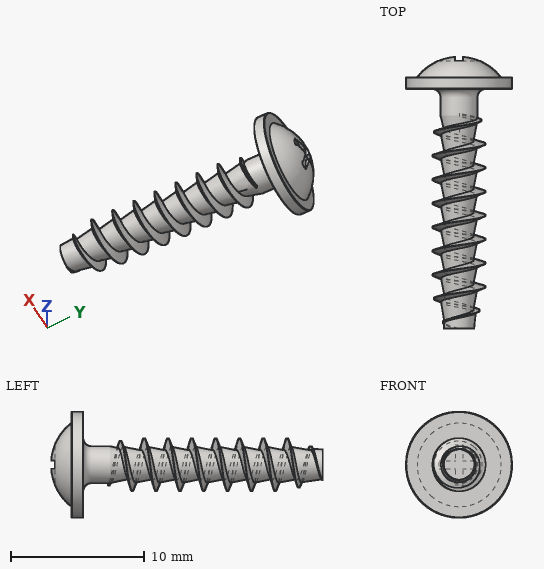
import math
import cadquery as cq


flange_radius = 4.0
flange_thickness = 0.9
flange_edge_chamfer = 0.05
dome_base_radius = 3.15
overall_length = 20.43
slot_width = 0.6
slot_depth = 0.28

shank_length = 18.0
neck_radius = 1.4
neck_length = 2.0
neck_fillet = 0.6
core_radius = 1.12
neck_taper_length = 1.2

pitch = 1.79
thread_start = 1.88
crest_radius = 2.0
crest_start_radius = 1.6
crest_flat = 0.04
crest_taper_start = 15.5
crest_taper_slope = 0.38
tooth_head_width = 0.28
tooth_tip_width = 0.26
root_radius = 1.36
root_taper_start = 16.0
root_taper_slope = 0.14
points_per_turn = 24

crest_clearance = 0.04
ramp_dip = 0.01
ramp_gap = 0.02
buried_depth = 0.12
min_crest_radius = core_radius + crest_clearance
ramp_end_radius = core_radius - ramp_dip
base_radius = core_radius - buried_depth

head_height = overall_length - shank_length
slot_corner_radius = slot_width / math.sqrt(2)
corner_height = head_height - flange_thickness
center_height = (corner_height**2 + slot_corner_radius**2 - dome_base_radius**2) / (2 * corner_height)
dome_radius = math.hypot(dome_base_radius, center_height)
dome_height = center_height + dome_radius

screw_plane = cq.Plane(origin=(0, 0, 0), xDir=(0, 0, -1), normal=(0, -1, 0))


def make_head_and_shank():
    """Revolve the head, the filleted neck and the plain thread core."""
    apex_s = -flange_thickness - dome_height
    dome_mid_angle = math.asin(dome_base_radius / dome_radius) / 2
    dome_mid_radius = dome_radius * math.sin(dome_mid_angle)
    dome_mid_s = apex_s + dome_radius * (1 - math.cos(dome_mid_angle))
    fillet_mid = neck_fillet * (1 - math.sqrt(0.5))
    chamfer_radius = flange_radius - flange_edge_chamfer
    profile = (
        cq.Workplane("XZ")
        .moveTo(0, apex_s)
        .threePointArc((dome_mid_radius, dome_mid_s), (dome_base_radius, -flange_thickness))
        .lineTo(chamfer_radius, -flange_thickness)
        .lineTo(flange_radius, -flange_thickness + flange_edge_chamfer)
        .lineTo(flange_radius, -flange_edge_chamfer)
        .lineTo(chamfer_radius, 0)
        .lineTo(neck_radius + neck_fillet, 0)
        .threePointArc((neck_radius + fillet_mid, fillet_mid), (neck_radius, neck_fillet))
        .lineTo(neck_radius, neck_length)
        .lineTo(core_radius, neck_length + neck_taper_length)
        .lineTo(core_radius, shank_length)
        .lineTo(0, shank_length)
        .close()
    )
    return profile.revolve(360, (0, 0, 0), (0, 1, 0))


def make_cross_slot():
    """Two crossing flat-bottomed slots through the crown of the dome."""
    slot_length = 2 * flange_radius
    slot_top = -flange_thickness - dome_height
    floor = -head_height + slot_depth
    height = floor - slot_top
    middle = (0, 0, (floor + slot_top) / 2)
    slot_x = cq.Workplane("XY").box(slot_length, slot_width, height).translate(middle)
    slot_y = cq.Workplane("XY").box(slot_width, slot_length, height).translate(middle)
    return slot_x.union(slot_y)


def crest_radius_at(s):
    """Crest radius: rises over the first turn, then tapers off at the tip."""
    run_in = crest_start_radius + (crest_radius - crest_start_radius) * (s - thread_start) / pitch
    run_out = crest_radius - crest_taper_slope * (s - crest_taper_start)
    return max(min_crest_radius, min(crest_radius, run_in, run_out))


def root_radius_at(s):
    """Radius where the tip-side flank meets the sloping core."""
    run_out = root_radius - root_taper_slope * (s - root_taper_start)
    return max(core_radius, min(root_radius, run_out))


def tooth_scale_at(s):
    """Tooth height at s as a fraction of the full tooth height."""
    return (crest_radius_at(s) - base_radius) / (crest_radius - base_radius)


def thread_section(s):
    """(radius, axial offset) corners of the thread at the crest position s."""
    crest = crest_radius_at(s)
    scale = tooth_scale_at(s)
    ramp_end = pitch - tooth_head_width * tooth_scale_at(s + pitch) - ramp_gap
    return [
        (base_radius, -tooth_head_width * scale),
        (crest, -crest_flat / 2),
        (crest, crest_flat / 2),
        (root_radius_at(s), tooth_tip_width * scale),
        (ramp_end_radius, ramp_end),
        (base_radius, ramp_end),
    ]


def thread_segment(first_turn):
    """Solid single turn of the thread, starting after first_turn whole turns."""
    corner_paths = [[] for corner in thread_section(thread_start)]
    for step in range(points_per_turn + 1):
        turn = first_turn + step / points_per_turn
        angle = 2 * math.pi * turn
        s = thread_start + pitch * turn
        for path, (radius, offset) in zip(corner_paths, thread_section(s)):
            path.append(cq.Vector(radius * math.cos(angle), radius * math.sin(angle), s + offset))
    edges = [cq.Edge.makeSpline(path) for path in corner_paths]
    faces = [cq.Face.makeRuledSurface(edges[i - 1], edges[i]) for i in range(len(edges))]
    for end in (0, -1):
        outline = cq.Wire.makePolygon([path[end] for path in corner_paths], close=True)
        faces.append(cq.Face.makeFromWires(outline))
    return cq.Solid.makeSolid(cq.Shell.makeShell(faces)).fix()


def add_thread(shank):
    """Fuse the thread onto the shank and trim it flush with the tip."""
    turns = math.ceil((shank_length - thread_start) / pitch)
    segments = [thread_segment(turn) for turn in range(turns)]
    threaded = shank.fuse(*segments)
    beyond_tip = cq.Solid.makeCylinder(flange_radius, 2 * pitch, cq.Vector(0, 0, shank_length))
    return threaded.cut(beyond_tip)


head_and_shank = make_head_and_shank().cut(make_cross_slot()).val()
screw = add_thread(head_and_shank)
result = cq.Workplane(screw.Solids()[0].moved(cq.Location(screw_plane)))